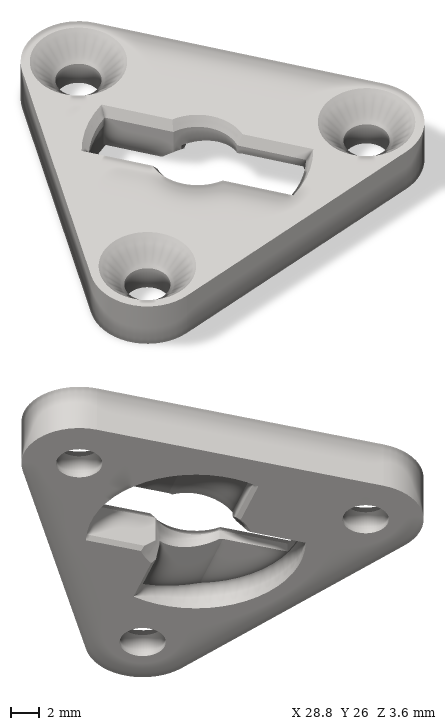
import cadquery as cq
import math

longest_side = 28.78
thickness = 3.6
corner_radius = 4.0
screw_spacing = longest_side - 2 * corner_radius
screw_circle_radius = screw_spacing / math.sqrt(3)

screw_diameter = 3.2
countersink_diameter = 6.73
countersink_angle = 90.0

slot_width = 3.8
slot_end_radius = 7.5
center_hole_radius = 3.0
keyhole_chamfer_width = 0.5
keyhole_chamfer_depth = 0.7

pocket_height = 2.22
pocket_radius = 7.6
stop_distance = slot_width / 2
stop_chamfer = 0.3

ramp_start = 2.6
ramp_slope = 0.2
ramp_drop = ramp_slope * (ramp_start + stop_distance)

bottom_flare = 0.95

corners = [
    (
        screw_circle_radius * math.cos(math.radians(angle)),
        screw_circle_radius * math.sin(math.radians(angle)),
    )
    for angle in (-90, 30, 150)
]


def make_disc(radius, height):
    return cq.Workplane("XY").circle(radius).extrude(height)


def make_plate():
    triangle = cq.Workplane("XY").polyline(corners).close()
    return triangle.offset2D(corner_radius, "arc").extrude(thickness)


def make_keyhole():
    slot = cq.Workplane("XY").rect(2 * slot_end_radius, slot_width).extrude(thickness)
    round_ends = make_disc(slot_end_radius, thickness)
    return slot.intersect(round_ends).union(make_disc(center_hole_radius, thickness))


def make_sector(margin, height, taper):
    """Quarter-turn sector of the pocket; its two straight sides are the stops of the key."""
    block_size = pocket_radius + stop_distance + 2 * margin
    block_center = (pocket_radius - stop_distance) / 2
    block = (
        cq.Workplane("XY")
        .center(block_center, block_center)
        .rect(block_size, block_size)
        .extrude(height, taper=taper)
    )
    return block.intersect(make_disc(pocket_radius, height))


def make_ceiling_ramp():
    """Wedge of material that stays under the ceiling of a sector."""
    return (
        cq.Workplane("XZ")
        .moveTo(ramp_start, pocket_height)
        .lineTo(-stop_distance, pocket_height)
        .lineTo(-stop_distance, pocket_height - ramp_drop)
        .close()
        .extrude(pocket_radius, both=True)
    )


def cut_bayonet_pocket(plate):
    """Cut two opposite sectors and bevel the bottom edges of their stops."""
    sector = make_sector(0, pocket_height, 0).cut(make_ceiling_ramp())
    bevel = make_sector(stop_chamfer, stop_chamfer, 45)
    for angle in (0, 180):
        for cutter in (sector, bevel):
            plate = plate.cut(cutter.rotate((0, 0, 0), (0, 0, 1), angle))
    return plate


def make_bottom_flare():
    """Cone that narrows upwards to the round hole."""
    cone = cq.Solid.makeCone(center_hole_radius + bottom_flare, center_hole_radius, bottom_flare)
    return cq.Workplane(cone)


def chamfer_keyhole(plate):
    """Bevel the rim of the single opening in the top face."""
    rim = plate.faces(">Z").val().innerWires()[0]
    return plate.newObject(rim.Edges()).chamfer(keyhole_chamfer_width, keyhole_chamfer_depth)


plate = chamfer_keyhole(make_plate().cut(make_keyhole()))
plate = cut_bayonet_pocket(plate)
plate = plate.cut(make_bottom_flare())

result = (
    plate.faces(">Z")
    .workplane(origin=(0, 0, thickness))
    .pushPoints(corners)
    .cskHole(screw_diameter, countersink_diameter, countersink_angle)
)